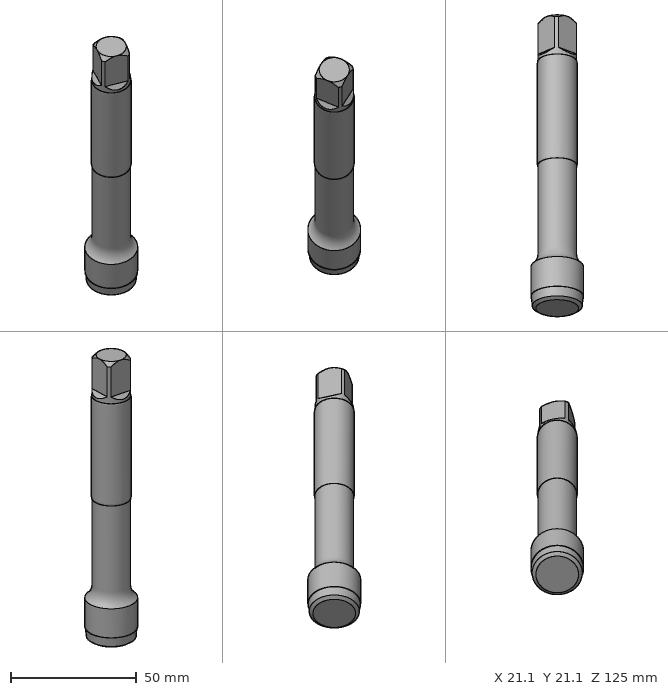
import cadquery as cq
import math

LENGTH = 125.0
SHAFT_DIAMETER = 15.5

SQUARE_SIDE = 12.0
SHOULDER_Z = 110.1
SHOULDER_ANGLE = 45.0
TIP_BEVEL_HEIGHT = 1.6

SLEEVE_DIAMETER = 16.0
SLEEVE_END_DIAMETER = 15.8
SLEEVE_BOTTOM_Z = 62.0
SLEEVE_TOP_Z = 107.1
SLEEVE_BEVEL_HEIGHT = 0.8

HEAD_DIAMETER = 21.1
HEAD_TOP_Z = 17.9
HEAD_BOTTOM_Z = 5.0
NECK_TOP_Z = 23.5
SKIRT_TOP_DIAMETER = 20.8
SKIRT_BOTTOM_DIAMETER = 20.0
SKIRT_BOTTOM_Z = 1.0
BASE_DIAMETER = 17.0

shaft_radius = SHAFT_DIAMETER / 2
head_radius = HEAD_DIAMETER / 2
half_square = SQUARE_SIDE / 2


def neck_midpoint():
    """Middle of the concave neck arc, which leaves the shaft tangentially."""
    rise = NECK_TOP_Z - HEAD_TOP_Z
    flare = head_radius - shaft_radius
    arc_radius = (rise**2 + flare**2) / (2 * flare)
    half_sweep = math.asin(rise / arc_radius) / 2
    radius = shaft_radius + arc_radius * (1 - math.cos(half_sweep))
    return radius, NECK_TOP_Z - arc_radius * math.sin(half_sweep)


def revolved(profile):
    """Turn a closed (radius, Z) profile around the Z axis."""
    return profile.close().revolve(360, (0, 0, 0), (0, 1, 0))


def make_turned_blank():
    """Head, neck and shaft, with the conical bevel at the tip."""
    return revolved(
        cq.Workplane("XZ")
        .lineTo(BASE_DIAMETER / 2, 0)
        .lineTo(SKIRT_BOTTOM_DIAMETER / 2, SKIRT_BOTTOM_Z)
        .lineTo(SKIRT_TOP_DIAMETER / 2, HEAD_BOTTOM_Z)
        .lineTo(head_radius, HEAD_BOTTOM_Z)
        .lineTo(head_radius, HEAD_TOP_Z)
        .threePointArc(neck_midpoint(), (shaft_radius, NECK_TOP_Z))
        .lineTo(shaft_radius, LENGTH - TIP_BEVEL_HEIGHT)
        .lineTo(half_square, LENGTH)
        .lineTo(0, LENGTH)
    )


def make_flat_cutter():
    """Material removed from the +X side to leave one flat and its sloping shoulder."""
    reach = SHAFT_DIAMETER
    drop = (reach - half_square) * math.tan(math.radians(SHOULDER_ANGLE))
    return (
        cq.Workplane("XZ")
        .moveTo(half_square, LENGTH)
        .lineTo(half_square, SHOULDER_Z)
        .lineTo(reach, SHOULDER_Z - drop)
        .lineTo(reach, LENGTH)
        .close()
        .extrude(shaft_radius, both=True)
    )


def make_extension_bar():
    """Turned bar with four flats forming the square drive."""
    bar = make_turned_blank()
    cutter = make_flat_cutter()
    for angle in (0, 90, 180, 270):
        bar = bar.cut(cutter.rotate((0, 0, 0), (0, 0, 1), angle))
    return bar


def make_grip_sleeve():
    """Thin sleeve around the shaft, bevelled at both ends."""
    outer = SLEEVE_DIAMETER / 2
    end = SLEEVE_END_DIAMETER / 2
    return revolved(
        cq.Workplane("XZ")
        .moveTo(shaft_radius, SLEEVE_BOTTOM_Z)
        .lineTo(end, SLEEVE_BOTTOM_Z)
        .lineTo(outer, SLEEVE_BOTTOM_Z + SLEEVE_BEVEL_HEIGHT)
        .lineTo(outer, SLEEVE_TOP_Z - SLEEVE_BEVEL_HEIGHT)
        .lineTo(end, SLEEVE_TOP_Z)
        .lineTo(shaft_radius, SLEEVE_TOP_Z)
    )


extension_bar = make_extension_bar()
grip_sleeve = make_grip_sleeve()

result = cq.Compound.makeCompound([extension_bar.val(), grip_sleeve.val()])